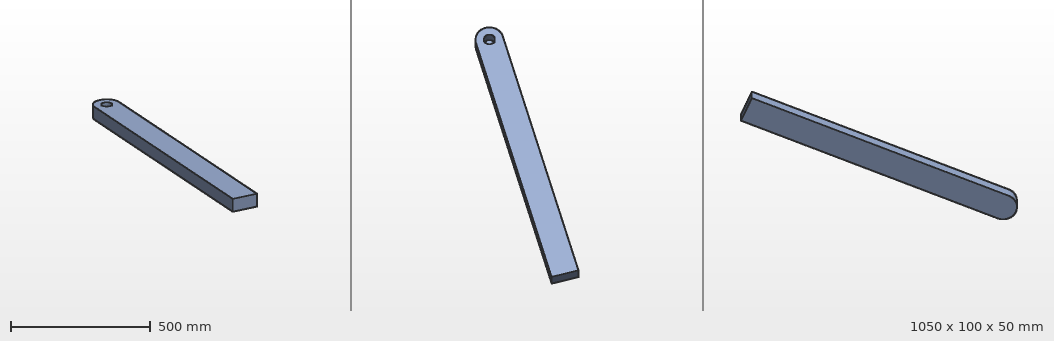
import cadquery as cq

bar_length = 1050.0
bar_width = 100.0
bar_thickness = 50.0
hole_diameter = 40.0
hole_depth = 40.0

end_radius = bar_width / 2
straight_length = bar_length - end_radius


def bar():
    """Flat bar with a half-round end; the origin is the centre of that end."""
    return (
        cq.Workplane("XY")
        .moveTo(0, end_radius)
        .threePointArc((-end_radius, 0), (0, -end_radius))
        .lineTo(straight_length, -end_radius)
        .lineTo(straight_length, end_radius)
        .close()
        .extrude(bar_thickness)
    )


def pivot_hole():
    """Blind round hole sunk from the top face, concentric with the round end."""
    return (
        cq.Workplane("XY")
        .workplane(offset=bar_thickness - hole_depth)
        .circle(hole_diameter / 2)
        .extrude(hole_depth)
    )


result = bar().cut(pivot_hole())